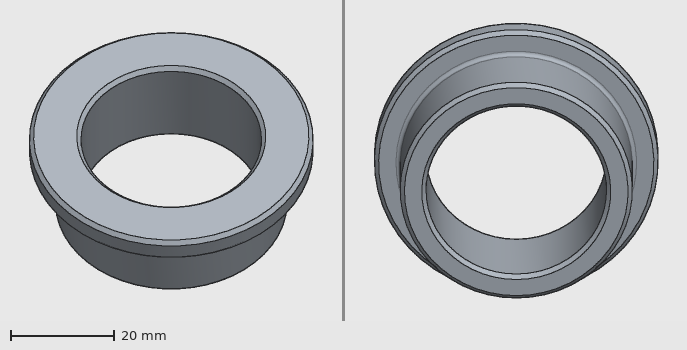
import cadquery as cq

flange_diameter = 55.0
sleeve_diameter = 45.0
bore_diameter = 35.0
total_height = 20.0
flange_thickness = 5.0

edge_chamfer = 0.8
corner_fillet = 0.8

flange_bottom = total_height - flange_thickness

sleeve = (
    cq.Workplane("XY")
    .circle(sleeve_diameter / 2)
    .extrude(total_height)
    .faces("<Z")
    .edges()
    .chamfer(edge_chamfer)
)

flange = (
    cq.Workplane("XY", origin=(0, 0, flange_bottom))
    .circle(flange_diameter / 2)
    .extrude(flange_thickness)
    .faces("<Z or >Z")
    .edges()
    .chamfer(edge_chamfer)
)

inner_corner = cq.selectors.RadiusNthSelector(0)
body = (
    sleeve.union(flange)
    .faces("%PLANE")
    .faces(">Z[1]")
    .edges(inner_corner)
    .fillet(corner_fillet)
)

bore = cq.Workplane("XY").circle(bore_diameter / 2).extrude(total_height)
bore_mouths = cq.selectors.RadiusNthSelector(0)
result = (
    body.cut(bore)
    .faces("<Z or >Z")
    .edges(bore_mouths)
    .chamfer(edge_chamfer)
)